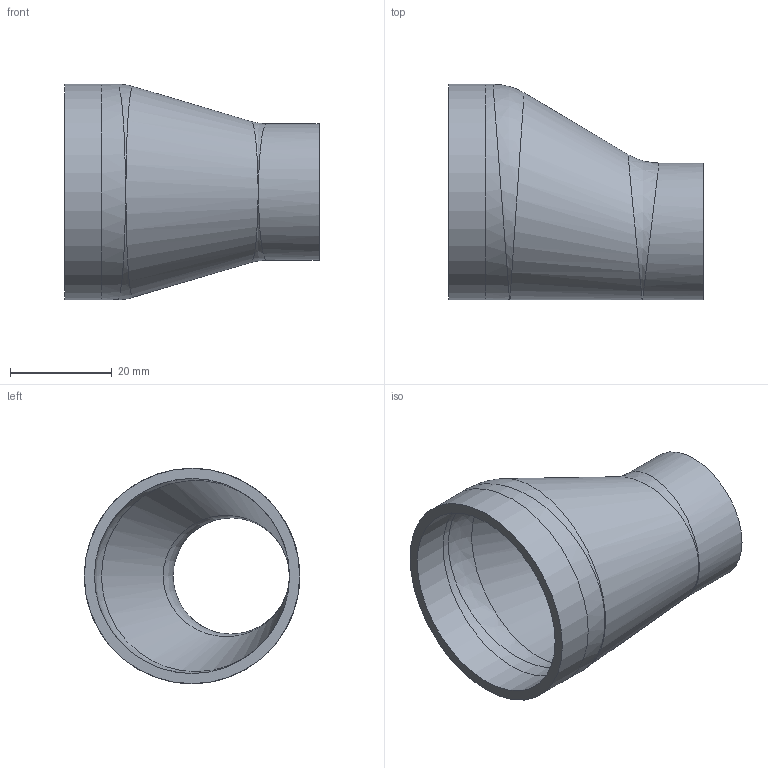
import cadquery as cq
import math

length = 50.0
large_diameter = 42.4
small_diameter = 26.9
wall = 2.0

collar_length = 7.2
cone_start = 11.95
cone_end = 38.05
bend_radius = 12.0
base_gap = 0.05

taper_slope = (large_diameter - small_diameter) / (cone_end - cone_start)
half_taper_angle = math.atan(taper_slope) / 2

section_points = 24
bend_steps = 4


def bezier(start, corner, end, fraction):
    """Quadratic curve that rounds off the corner between start and end."""
    rest = 1 - fraction
    return rest**2 * start + 2 * rest * fraction * corner + fraction**2 * end


def section(bottom_x, top_x, bottom_y, top_y, half_width):
    """Closed oval, tilted in X, through a bottom and a top point at Z = 0."""
    middle = cq.Vector((bottom_x + top_x) / 2, (bottom_y + top_y) / 2, 0)
    upward = cq.Vector((top_x - bottom_x) / 2, (top_y - bottom_y) / 2, 0)
    sideways = cq.Vector(0, 0, half_width)
    angles = [2 * math.pi * index / section_points for index in range(section_points)]
    points = [middle + upward * math.cos(angle) + sideways * math.sin(angle) for angle in angles]
    return cq.Wire.assembleEdges([cq.Edge.makeSpline(points, periodic=True)])


def round_section(x, radius, center_y):
    """Circle square to X whose start point lies at the top, as in the ovals."""
    edge = cq.Edge.makeCircle(radius).rotate(cq.Vector(), cq.Vector(0, 1, 0), 90)
    top_start = edge.rotate(cq.Vector(), cq.Vector(1, 0, 0), 90)
    return cq.Wire.assembleEdges([top_start.translate(cq.Vector(x, center_y, 0))])


def bend_sections(seam_x, seam_shift, radius, bend, bottom_y, slope_before, slope_after):
    """Sections that blend a pipe of the given radius with the cone at one seam.

    The seam is shifted in X by seam_shift at the top and by half of it at mid height.
    """
    reach = bend * math.tan(half_taper_angle)
    corner_x = seam_x + seam_shift
    corner_y = bottom_y + 2 * radius
    start_reach = reach * math.cos(math.atan(slope_before))
    end_reach = reach * math.cos(math.atan(slope_after))
    mid_shift = seam_shift / 2
    start_mid = (seam_shift - start_reach - base_gap) / 2
    end_mid = (seam_shift + end_reach + base_gap) / 2
    start_width = radius - slope_before / 2 * (start_mid - mid_shift)
    end_width = radius - slope_after / 2 * (end_mid - mid_shift)

    sections = []
    for step in range(bend_steps + 1):
        fraction = step / bend_steps
        bottom_x = bezier(seam_x - base_gap, seam_x, seam_x + base_gap, fraction)
        top_x = bezier(corner_x - start_reach, corner_x, corner_x + end_reach, fraction)
        top_y = bezier(
            corner_y + slope_before * start_reach,
            corner_y,
            corner_y - slope_after * end_reach,
            fraction,
        )
        half_width = bezier(start_width, radius, end_width, fraction)
        sections.append(section(bottom_x, top_x, bottom_y, top_y, half_width))
    return sections


def reducer_body(inset):
    """Solid reducer with its collar, shrunk all round by the inset."""
    large_radius = large_diameter / 2 - inset
    small_radius = small_diameter / 2 - inset
    bottom_y = -large_radius
    seam_shift = -inset * math.tan(half_taper_angle)

    large_bend = bend_sections(
        cone_start, seam_shift, large_radius, bend_radius - inset, bottom_y, 0, taper_slope
    )
    small_bend = bend_sections(
        cone_end, seam_shift, small_radius, bend_radius + inset, bottom_y, taper_slope, 0
    )
    large_end = round_section(collar_length, large_radius, 0)
    collar_end = round_section(0, large_radius, 0)
    small_end = round_section(length, small_radius, bottom_y + small_radius)

    parts = [
        cq.Solid.makeLoft([collar_end, large_end], True),
        cq.Solid.makeLoft([large_end, large_bend[0]], True),
        cq.Solid.makeLoft(large_bend, False),
        cq.Solid.makeLoft([large_bend[-1], small_bend[0]], True),
        cq.Solid.makeLoft(small_bend, False),
        cq.Solid.makeLoft([small_bend[-1], small_end], True),
    ]
    body = cq.Workplane(parts[0])
    for part in parts[1:]:
        body = body.union(cq.Workplane(part))
    return body


outside = reducer_body(0)
bore = reducer_body(wall)
result = outside.cut(bore)